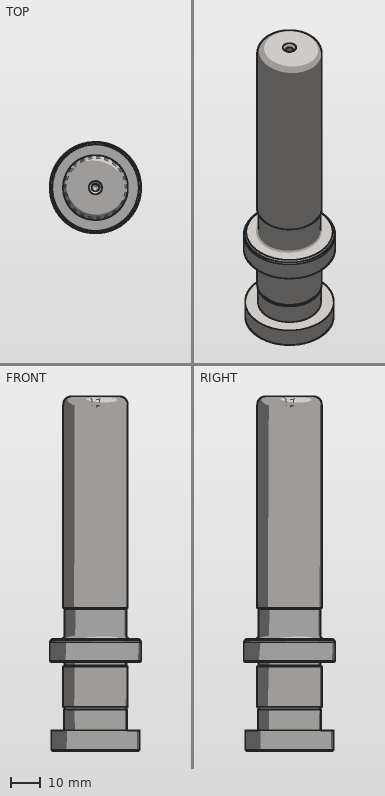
import cadquery as cq
import math

disc_radius = 15.0
disc_height = 7.0
disc_chamfer = 0.5
disc_neck_radius = 10.7
disc_neck_height = 7.0

total_height = 120.0
shaft_radius = 11.0
tip_fillet = 3.0
pin_bottom = disc_height + disc_neck_height
shank_end_chamfer = 1.0

flange_radius = 15.5
flange_bottom = 30.0
flange_top = 38.0
flange_bottom_chamfer = 0.5
flange_chamfer = 0.6
flange_bevel_width = 0.3
flange_bevel_angle = 25.0

neck_radius = 10.5
neck_top = 48.0
neck_taper_height = 0.5
neck_root_fillet = 1.0
relief_height = 1.0
relief_taper_height = 0.5

centre_mouth_radius = 2.25
centre_drill_radius = 1.25
centre_cone_angle = 90.0
centre_drill_length = 2.0
drill_point_angle = 120.0


def make_clamp_disc():
    profile = (
        cq.Workplane("XZ")
        .lineTo(disc_radius - disc_chamfer, 0)
        .lineTo(disc_radius, disc_chamfer)
        .lineTo(disc_radius, disc_height)
        .lineTo(disc_neck_radius, disc_height)
        .lineTo(disc_neck_radius, pin_bottom)
        .lineTo(0, pin_bottom)
        .close()
    )
    return profile.revolve(360, (0, 0), (0, 1))


def make_pin_blank():
    relief_bottom = flange_bottom - relief_height
    bevel_top = flange_top - flange_chamfer
    bevel_top_radius = flange_radius - flange_bevel_width
    bevel_bottom = bevel_top - flange_bevel_width / math.tan(math.radians(flange_bevel_angle))
    profile = (
        cq.Workplane("XZ")
        .moveTo(0, pin_bottom)
        .lineTo(shaft_radius - shank_end_chamfer, pin_bottom)
        .lineTo(shaft_radius, pin_bottom + shank_end_chamfer)
        .lineTo(shaft_radius, relief_bottom - relief_taper_height)
        .lineTo(neck_radius, relief_bottom)
        .lineTo(neck_radius, flange_bottom)
        .lineTo(flange_radius - flange_bottom_chamfer, flange_bottom)
        .lineTo(flange_radius, flange_bottom + flange_bottom_chamfer)
        .lineTo(flange_radius, bevel_bottom)
        .lineTo(bevel_top_radius, bevel_top)
        .lineTo(bevel_top_radius - flange_chamfer, flange_top)
        .lineTo(neck_radius + neck_root_fillet, flange_top)
        .radiusArc((neck_radius, flange_top + neck_root_fillet), neck_root_fillet)
        .lineTo(neck_radius, neck_top)
        .lineTo(shaft_radius, neck_top + neck_taper_height)
        .lineTo(shaft_radius, total_height - tip_fillet)
        .radiusArc((shaft_radius - tip_fillet, total_height), -tip_fillet)
        .lineTo(0, total_height)
        .close()
    )
    return profile.revolve(360, (0, 0), (0, 1))


def make_centre_hole():
    cone_width = centre_mouth_radius - centre_drill_radius
    cone_depth = cone_width / math.tan(math.radians(centre_cone_angle / 2))
    point_depth = centre_drill_radius / math.tan(math.radians(drill_point_angle / 2))
    drill_end = total_height - cone_depth - centre_drill_length
    profile = (
        cq.Workplane("XZ")
        .moveTo(0, total_height)
        .lineTo(centre_mouth_radius, total_height)
        .lineTo(centre_drill_radius, total_height - cone_depth)
        .lineTo(centre_drill_radius, drill_end)
        .lineTo(0, drill_end - point_depth)
        .close()
    )
    return profile.revolve(360, (0, 0), (0, 1))


clamp_disc = make_clamp_disc()
guide_pin = make_pin_blank().cut(make_centre_hole())

result = cq.Compound.makeCompound([clamp_disc.val(), guide_pin.val()])